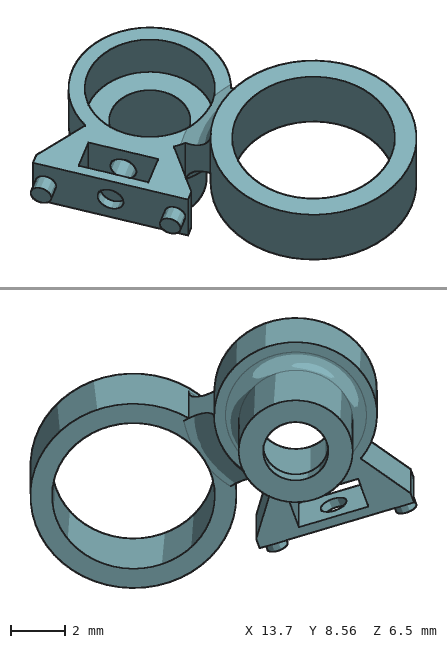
import cadquery as cq
import math


small_outer_radius = 6.0 / 2
small_ring_height = 2.0
socket_radius = 4.8 / 2
socket_floor_z = 0.2
tube_radius = 4.2 / 2
tube_length = 3.0
tube_fillet = 0.5
tube_bore_radius = 3.0 / 2
lip_radius = 2.4 / 2
lip_thickness = 0.5

large_center_x = 6.89
large_center_y = -1.76
large_outer_radius = 7.6 / 2
large_bore_radius = 6.0 / 2
large_bottom_z = 1.0
large_ring_height = 2.5

bridge_width = 3.2
bridge_fillet = 1.2
center_distance = math.hypot(large_center_x, large_center_y)
bridge_angle = math.degrees(math.atan2(large_center_y, large_center_x))

foot_half_width = small_outer_radius
foot_front_y = -4.8
foot_edge_depth = 0.4
foot_shoulder_y = foot_front_y + foot_edge_depth
foot_neck_half_width = 1.71
foot_neck_y = -math.sqrt(small_outer_radius**2 - foot_neck_half_width**2)
window_width = 2.7
window_depth = 1.2
window_center_y = -3.83

pin_radius = 0.8 / 2
pin_length = 0.6
pin_offset_x = 2.5
cross_hole_radius = 1.0 / 2
foot_middle_z = small_ring_height / 2


def cylinder(radius, bottom_z, top_z, x=0, y=0):
    """Upright cylinder between two heights."""
    return cq.Workplane("XY", origin=(x, y, bottom_z)).circle(radius).extrude(top_z - bottom_z)


def fillet_ring(radius, size, corner_z, direction):
    """Concave collar around the Z axis, rising (+1) or hanging (-1) from the corner height."""
    tip_z = corner_z + direction * size
    arc_offset = size * (1 - math.sqrt(0.5))
    return (
        cq.Workplane("XZ")
        .moveTo(0, corner_z)
        .lineTo(radius + size, corner_z)
        .threePointArc(
            (radius + arc_offset, corner_z + direction * arc_offset),
            (radius, tip_z),
        )
        .lineTo(0, tip_z)
        .close()
        .revolve(360, (0, 0, 0), (0, 1, 0))
    )


def make_foot():
    """Trapezoidal foot, running back to the axis of the small ring."""
    return (
        cq.Workplane("XY")
        .polyline([
            (-foot_half_width, foot_front_y),
            (foot_half_width, foot_front_y),
            (foot_half_width, foot_shoulder_y),
            (foot_neck_half_width, foot_neck_y),
            (0, 0),
            (-foot_neck_half_width, foot_neck_y),
            (-foot_half_width, foot_shoulder_y),
        ])
        .close()
        .extrude(small_ring_height)
    )


def make_pin(x):
    """Pin standing out of the front face of the foot."""
    return (
        cq.Workplane("XZ", origin=(x, foot_front_y, foot_middle_z))
        .circle(pin_radius)
        .extrude(pin_length)
    )


def bridge_block(bottom_z, top_z):
    """Straight bar running along X from one ring axis to the other."""
    return (
        cq.Workplane("XY", origin=(center_distance / 2, 0, bottom_z))
        .rect(center_distance, bridge_width)
        .extrude(top_z - bottom_z)
    )


def make_bridge():
    """Web between the ring axes, curving up to the large ring and down to the small ring."""
    web = bridge_block(large_bottom_z, small_ring_height)

    upper_top_z = small_ring_height + bridge_fillet
    upper_limits = bridge_block(0, upper_top_z).union(cylinder(small_outer_radius, 0, upper_top_z))
    upper = fillet_ring(large_outer_radius, bridge_fillet, small_ring_height, 1)
    upper = upper.translate((center_distance, 0, 0)).intersect(upper_limits)

    lower = fillet_ring(small_outer_radius, bridge_fillet, large_bottom_z, -1)
    lower = lower.intersect(bridge_block(0, large_bottom_z))
    return web.union(upper).union(lower).rotate((0, 0, 0), (0, 0, 1), bridge_angle)


large_top_z = large_bottom_z + large_ring_height
body = cylinder(small_outer_radius, 0, small_ring_height)
body = body.union(cylinder(tube_radius, -tube_length, 0))
body = body.union(fillet_ring(tube_radius, tube_fillet, 0, -1))
body = body.union(
    cylinder(large_outer_radius, large_bottom_z, large_top_z, large_center_x, large_center_y)
)
body = body.union(make_bridge())
body = body.union(make_foot())
for pin_x in (-pin_offset_x, pin_offset_x):
    body = body.union(make_pin(pin_x))

body = body.cut(cylinder(socket_radius, socket_floor_z, large_top_z))
body = body.cut(cylinder(tube_bore_radius, -tube_length + lip_thickness, socket_floor_z))
body = body.cut(cylinder(lip_radius, -tube_length, socket_floor_z))

body = body.cut(cylinder(large_bore_radius, 0, large_top_z, large_center_x, large_center_y))

window = (
    cq.Workplane("XY", origin=(0, window_center_y, 0))
    .rect(window_width, window_depth)
    .extrude(small_ring_height)
)
body = body.cut(window)

cross_hole = (
    cq.Workplane("XZ", origin=(0, foot_front_y, foot_middle_z))
    .circle(cross_hole_radius)
    .extrude(foot_front_y)
)
result = body.cut(cross_hole)